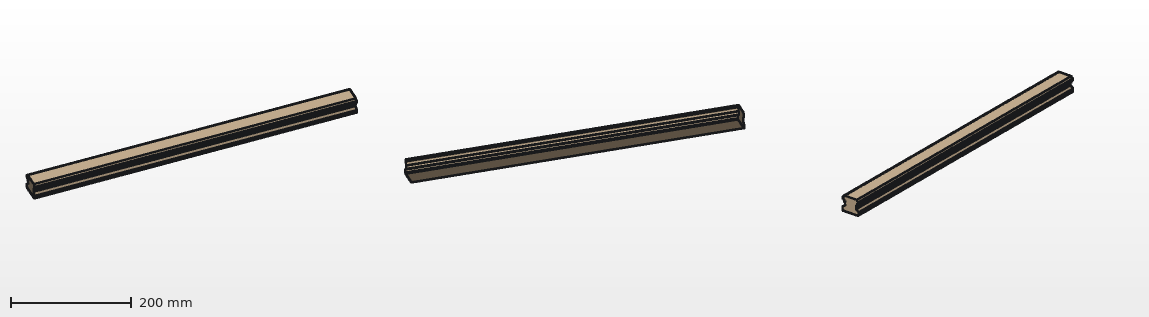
import cadquery as cq

length = 580.0
width = 34.0
height = 29.0

head_inset = 0.3
groove_size = 3.5
groove_depth = 1.05
head_flank_height = 3.0
step_bottom_z = 17.5

waist_depth = 5.0
waist_bottom_z = 11.5
base_slope_height = 4.5
bottom_chamfer = 2.0

half_width = width / 2
head_half_width = half_width - head_inset
groove_half_width = head_half_width - groove_size
waist_half_width = half_width - waist_depth
upper_groove_bottom_z = height - groove_size
lower_groove_top_z = upper_groove_bottom_z - head_flank_height
lower_groove_bottom_z = lower_groove_top_z - groove_size
base_flank_top_z = waist_bottom_z - base_slope_height


def half_section():
    """Cross-section of the +X half of the rail, in the XZ plane."""
    upper_groove_start = (groove_half_width, height)
    upper_groove_end = (head_half_width, upper_groove_bottom_z)
    lower_groove_start = (head_half_width, lower_groove_top_z)
    lower_groove_end = (groove_half_width, lower_groove_bottom_z)
    return (
        cq.Workplane("XZ")
        .lineTo(0, height)
        .lineTo(*upper_groove_start)
        .sagittaArc(upper_groove_end, -groove_depth)
        .lineTo(*lower_groove_start)
        .sagittaArc(lower_groove_end, -groove_depth)
        .lineTo(groove_half_width, step_bottom_z)
        .lineTo(waist_half_width, step_bottom_z)
        .lineTo(waist_half_width, waist_bottom_z)
        .lineTo(half_width, base_flank_top_z)
        .lineTo(half_width, bottom_chamfer)
        .lineTo(half_width - bottom_chamfer, 0)
        .close()
    )


def rail():
    """Both halves extruded along Y and joined, centred on the origin in X and Y."""
    right_half = half_section().extrude(length / 2, both=True)
    return right_half.mirror("YZ", union=True).clean()


result = rail()